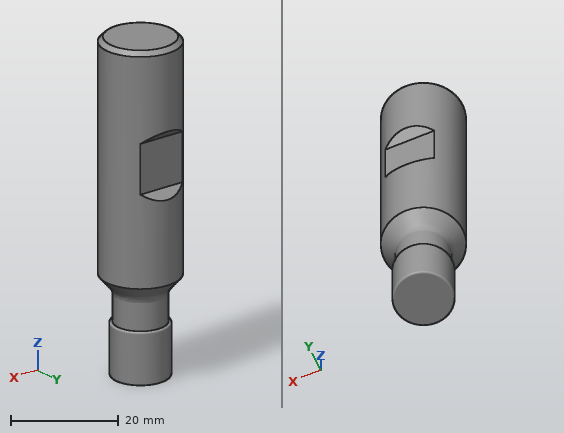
import cadquery as cq

total_length = 68.0

shank_diameter = 16.0
shank_bottom = 20.4
top_chamfer = 0.95
neck_diameter = 10.55
neck_top = 17.3
neck_blend_radius = 2.2

flat_depth = 1.8
flat_length = 10.2
flat_center = 44.45

head_diameter = 11.7
head_length = 10.8
head_rim_radius = 0.4

shank_radius = shank_diameter / 2
neck_radius = neck_diameter / 2


def make_shank_blank():
    """Turned shank and neck, standing on top of the cutting head."""
    blank = (
        cq.Workplane("XZ")
        .moveTo(0, head_length)
        .lineTo(neck_radius, head_length)
        .lineTo(neck_radius, neck_top)
        .lineTo(shank_radius, shank_bottom)
        .lineTo(shank_radius, total_length)
        .lineTo(0, total_length)
        .close()
        .revolve(360, (0, 0, 0), (0, 1, 0))
    )
    neck_corner = cq.selectors.NearestToPointSelector((0, 0, neck_top))
    rounded = blank.edges("%CIRCLE").edges(neck_corner).fillet(neck_blend_radius)
    return rounded.faces(">Z").edges().chamfer(top_chamfer)


def make_flat_cutter():
    """Trapezoidal prism along X that opens outward at 45 degrees."""
    floor_y = shank_radius - flat_depth
    half_floor = flat_length / 2
    rise = 2 * flat_depth
    return (
        cq.Workplane("YZ")
        .moveTo(floor_y, flat_center - half_floor)
        .lineTo(floor_y + rise, flat_center - half_floor - rise)
        .lineTo(floor_y + rise, flat_center + half_floor + rise)
        .lineTo(floor_y, flat_center + half_floor)
        .close()
        .extrude(shank_radius, both=True)
    )


def make_shank():
    return make_shank_blank().cut(make_flat_cutter())


def make_cutting_head():
    head = cq.Workplane("XY").circle(head_diameter / 2).extrude(head_length)
    return head.edges("%CIRCLE").fillet(head_rim_radius)


shank = make_shank()
cutting_head = make_cutting_head()

result = cq.Compound.makeCompound([shank.val(), cutting_head.val()])